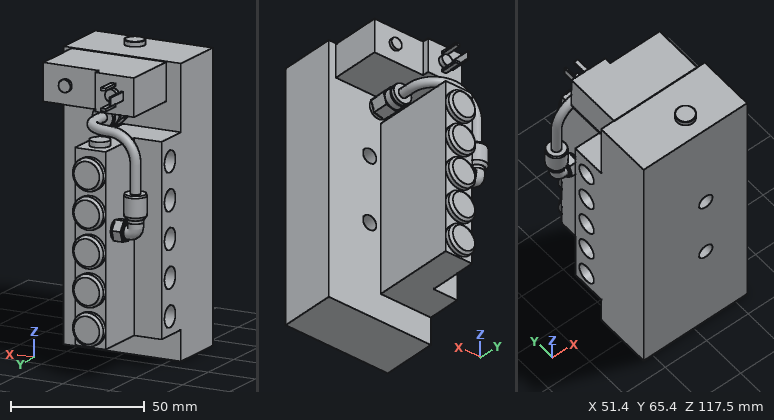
import cadquery as cq

BASE_X, BASE_Y, BASE_Z = 50.0, 25.0, 115.5
BUTTON_DIAMETER, BUTTON_HEIGHT, BUTTON_CHAMFER = 8.0, 2.0, 0.2
BUTTON_X, BUTTON_Y = 28.0, 9.5
MOUNT_HOLE_DIAMETER, MOUNT_HOLE_X = 6.5, 30.0
MOUNT_HOLE_HEIGHTS = (42.0, 72.0)

STATION_COUNT, STATION_PITCH, FIRST_STATION_Z = 5, 15.0, 19.6
BANK_Z_MIN, BANK_Z_MAX = 12.3, 88.85
VALVE_X_MIN, VALVE_WIDTH = 11.6, 13.0
VALVE_X = VALVE_X_MIN + VALVE_WIDTH / 2
MANIFOLD_X = VALVE_X_MIN + VALVE_WIDTH
MANIFOLD_BACK, VALVE_BACK = 40.2, 62.5
PORT_DIAMETER, PORT_DEPTH, PORT_Y = 8.6, 12.0, 33.6
CAP_DIAMETER, CAP_HEIGHT, CAP_CHAMFER = 13.0, 2.9, 1.1
BANK_DISC_DIAMETER, BANK_DISC_HEIGHT = 8.0, 2.2

CONNECTOR_X_MIN, CONNECTOR_X_STEP, CONNECTOR_X_MAX = 6.3, 22.7, 46.5
CONNECTOR_BACK, CONNECTOR_STEP_BACK = 50.2, 47.3
CONNECTOR_Z_MIN, CONNECTOR_Z_MAX = 100.0, 115.2
CONNECTOR_Z = (CONNECTOR_Z_MIN + CONNECTOR_Z_MAX) / 2
STUD_DIAMETER, STUD_HEIGHT, STUD_X = 5.0, 1.3, 36.7
PIN_BOSS_DIAMETER, PIN_BOSS_HEIGHT = 5.0, 2.0
PIN_X, PIN_WIDTH, PIN_THICKNESS = 15.0, 2.0, 1.0
PIN_SPACING, PIN_BACK = 8.0, 58.2
EARTH_X, EARTH_THICKNESS, EARTH_WIDTH, EARTH_BACK = 11.2, 0.8, 3.4, 59.8

TUBE_DIAMETER, TUBE_BEND_RADIUS = 4.0, 11.0
ELBOW_X, ELBOW_Y, ELBOW_Z = 3.0, 55.0, 57.0
TUBE_TOP_Z = 94.75
TUBE_CROSS_RUN = 0.7
STRAIGHT_X = ELBOW_X + 2 * TUBE_BEND_RADIUS + TUBE_CROSS_RUN
ELBOW_NUT_DIAMETER, STRAIGHT_NUT_DIAMETER = 8.7, 8.6

ELBOW_DIAMETER, ELBOW_BEND_RADIUS, ELBOW_COLLAR_DIAMETER = 6.0, 2.0, 7.5
ELBOW_NECK_DIAMETER, ELBOW_NECK_BOTTOM = 6.3, 61.0
ELBOW_NUT_BOTTOM, ELBOW_NUT_TOP = 62.3, 72.1
ELBOW_NUT_TAPER_HEIGHT, ELBOW_NUT_TAPER_WIDTH = 1.4, 1.0
ELBOW_NUT_RIM_HEIGHT, ELBOW_NUT_RIM_WIDTH = 0.8, 0.3
ELBOW_COLLAR_X, ELBOW_HEX_X_MIN, ELBOW_HEX_X_MAX = 6.4, 7.0, 10.8
ELBOW_HEX_FLATS, ELBOW_HEX_TURN = 8.0, 9.0

STRAIGHT_END, STRAIGHT_HEX_Y_MIN, STRAIGHT_HEX_Y_MAX = 39.0, 26.6, 33.8
STRAIGHT_HEX_FLATS, STRAIGHT_HEX_TURN = 9.0, 16.0
GROOVE_Y, GROOVE_WIDTH, GROOVE_DEPTH = 36.9, 0.4, 0.2

HEX_CORNER_RATIO = 2 / 3**0.5


def box(x_range, y_range, z_range):
    """Box between the given limits on each axis."""
    sizes = [high - low for low, high in (x_range, y_range, z_range)]
    corner = (x_range[0], y_range[0], z_range[0])
    return cq.Workplane("XY").box(*sizes, centered=False).translate(corner)


def rod(start, direction, length, diameter):
    """Round bar from a start point along an axis direction."""
    axis = cq.Vector(*direction)
    return cq.Workplane(cq.Solid.makeCylinder(diameter / 2, length, cq.Vector(*start), axis))


def hexagon(start, direction, upright, length, flats, turn):
    """Hexagonal bar whose first corner is turned away from the upright direction."""
    plane = cq.Plane(origin=start, xDir=upright, normal=direction)
    corners = flats * HEX_CORNER_RATIO
    profile = cq.Workplane(plane).transformed(rotate=(0, 0, turn)).polygon(6, corners)
    return profile.extrude(length)


def base():
    body = box((0, BASE_X), (0, BASE_Y), (0, BASE_Z))
    for height in MOUNT_HOLE_HEIGHTS:
        body = body.cut(rod((MOUNT_HOLE_X, 0, height), (0, 1, 0), BASE_Y, MOUNT_HOLE_DIAMETER))
    button = rod((BUTTON_X, BUTTON_Y, BASE_Z), (0, 0, 1), BUTTON_HEIGHT, BUTTON_DIAMETER)
    return body.union(button.faces(">Z").chamfer(BUTTON_CHAMFER))


def valve_bank():
    z_range = (BANK_Z_MIN, BANK_Z_MAX)
    bank = box((0, MANIFOLD_X), (BASE_Y, MANIFOLD_BACK), z_range)
    bank = bank.union(box((VALVE_X_MIN, MANIFOLD_X), (MANIFOLD_BACK, VALVE_BACK), z_range))
    for station in range(STATION_COUNT):
        height = FIRST_STATION_Z + station * STATION_PITCH
        bank = bank.cut(rod((0, PORT_Y, height), (1, 0, 0), PORT_DEPTH, PORT_DIAMETER))
        cap = rod((VALVE_X, VALVE_BACK, height), (0, 1, 0), CAP_HEIGHT, CAP_DIAMETER)
        bank = bank.union(cap.faces(">Y").chamfer(CAP_CHAMFER))
    disc_start = (VALVE_X, ELBOW_Y, BANK_Z_MAX)
    return bank.union(rod(disc_start, (0, 0, 1), BANK_DISC_HEIGHT, BANK_DISC_DIAMETER))


def connector():
    z_range = (CONNECTOR_Z_MIN, CONNECTOR_Z_MAX)
    block = box((CONNECTOR_X_MIN, CONNECTOR_X_MAX), (BASE_Y, CONNECTOR_STEP_BACK), z_range)
    block = block.union(box((CONNECTOR_X_MIN, CONNECTOR_X_STEP), (BASE_Y, CONNECTOR_BACK), z_range))
    stud_start = (STUD_X, CONNECTOR_STEP_BACK, CONNECTOR_Z)
    block = block.union(rod(stud_start, (0, 1, 0), STUD_HEIGHT, STUD_DIAMETER))
    boss_start = (PIN_X, CONNECTOR_BACK, CONNECTOR_Z)
    block = block.union(rod(boss_start, (0, 1, 0), PIN_BOSS_HEIGHT, PIN_BOSS_DIAMETER))
    for side in (-1, 1):
        pin = cq.Workplane("XZ", origin=(PIN_X, CONNECTOR_BACK, CONNECTOR_Z + side * PIN_SPACING / 2))
        block = block.union(pin.rect(PIN_WIDTH, PIN_THICKNESS).extrude(CONNECTOR_BACK - PIN_BACK))
    earth = cq.Workplane("XZ", origin=(EARTH_X, CONNECTOR_BACK, CONNECTOR_Z))
    return block.union(earth.rect(EARTH_THICKNESS, EARTH_WIDTH).extrude(CONNECTOR_BACK - EARTH_BACK))


def elbow_body():
    """Tight quarter bend with a straight leg upwards and another towards the valve bank."""
    bend_x = ELBOW_X + ELBOW_BEND_RADIUS
    bend_z = ELBOW_Z + ELBOW_BEND_RADIUS
    radius = ELBOW_DIAMETER / 2
    half_chord = (radius**2 - ELBOW_BEND_RADIUS**2) ** 0.5
    section = cq.Workplane("XY", origin=(bend_x, ELBOW_Y, bend_z)).moveTo(0, -half_chord)
    section = section.threePointArc((-ELBOW_BEND_RADIUS - radius, 0), (0, half_chord)).close()
    body = section.revolve(90, (0, 0, 0), (0, -1, 0))
    upper_leg = rod((ELBOW_X, ELBOW_Y, bend_z), (0, 0, 1), ELBOW_NECK_BOTTOM - bend_z, ELBOW_DIAMETER)
    side_leg = rod((bend_x, ELBOW_Y, ELBOW_Z), (1, 0, 0), ELBOW_COLLAR_X - bend_x, ELBOW_DIAMETER)
    return body.union(upper_leg).union(side_leg)


def elbow_fitting():
    neck_start = (ELBOW_X, ELBOW_Y, ELBOW_NECK_BOTTOM)
    neck_length = ELBOW_NUT_BOTTOM - ELBOW_NECK_BOTTOM
    fitting = elbow_body().union(rod(neck_start, (0, 0, 1), neck_length, ELBOW_NECK_DIAMETER))
    collar_start = (ELBOW_COLLAR_X, ELBOW_Y, ELBOW_Z)
    collar_length = VALVE_X_MIN - ELBOW_COLLAR_X
    fitting = fitting.union(rod(collar_start, (1, 0, 0), collar_length, ELBOW_COLLAR_DIAMETER))
    hex_start = (ELBOW_HEX_X_MIN, ELBOW_Y, ELBOW_Z)
    hex_length = ELBOW_HEX_X_MAX - ELBOW_HEX_X_MIN
    hex_nut = hexagon(hex_start, (1, 0, 0), (0, 1, 0), hex_length, ELBOW_HEX_FLATS, ELBOW_HEX_TURN)
    nut_start = (ELBOW_X, ELBOW_Y, ELBOW_NUT_BOTTOM)
    nut = rod(nut_start, (0, 0, 1), ELBOW_NUT_TOP - ELBOW_NUT_BOTTOM, ELBOW_NUT_DIAMETER)
    nut = nut.faces("<Z").chamfer(ELBOW_NUT_TAPER_HEIGHT, ELBOW_NUT_TAPER_WIDTH)
    nut = nut.faces(">Z").chamfer(ELBOW_NUT_RIM_HEIGHT, ELBOW_NUT_RIM_WIDTH)
    return fitting.union(hex_nut).union(nut)


def straight_fitting():
    fitting = rod((STRAIGHT_X, BASE_Y, TUBE_TOP_Z), (0, 1, 0), STRAIGHT_END - BASE_Y, STRAIGHT_NUT_DIAMETER)
    groove_start = (STRAIGHT_X, GROOVE_Y, TUBE_TOP_Z)
    ring = rod(groove_start, (0, 1, 0), GROOVE_WIDTH, STRAIGHT_NUT_DIAMETER)
    core = rod(groove_start, (0, 1, 0), GROOVE_WIDTH, STRAIGHT_NUT_DIAMETER - 2 * GROOVE_DEPTH)
    hex_start = (STRAIGHT_X, STRAIGHT_HEX_Y_MIN, TUBE_TOP_Z)
    hex_length = STRAIGHT_HEX_Y_MAX - STRAIGHT_HEX_Y_MIN
    hex_nut = hexagon(hex_start, (0, 1, 0), (0, 0, 1), hex_length, STRAIGHT_HEX_FLATS, STRAIGHT_HEX_TURN)
    return fitting.cut(ring.cut(core)).union(hex_nut)


def tube():
    """Tube rising from the elbow nut, bending towards +X and then towards the base."""
    radius = TUBE_BEND_RADIUS
    start = cq.Vector(ELBOW_X, ELBOW_Y, ELBOW_NUT_TOP)
    bend_start = cq.Vector(ELBOW_X, ELBOW_Y, TUBE_TOP_Z - radius)
    middle = cq.Vector(ELBOW_X + radius, ELBOW_Y, TUBE_TOP_Z)
    cross_end = cq.Vector(STRAIGHT_X - radius, ELBOW_Y, TUBE_TOP_Z)
    bend_end = cq.Vector(STRAIGHT_X, ELBOW_Y - radius, TUBE_TOP_Z)
    end = cq.Vector(STRAIGHT_X, STRAIGHT_END, TUBE_TOP_Z)
    edges = [
        cq.Edge.makeLine(start, bend_start),
        cq.Edge.makeTangentArc(bend_start, cq.Vector(0, 0, 1), middle),
        cq.Edge.makeLine(middle, cross_end),
        cq.Edge.makeTangentArc(cross_end, cq.Vector(1, 0, 0), bend_end),
        cq.Edge.makeLine(bend_end, end),
    ]
    path = cq.Workplane(cq.Wire.assembleEdges(edges))
    section = cq.Workplane("XY", origin=start.toTuple()).circle(TUBE_DIAMETER / 2)
    return section.sweep(path)


result = base()
for feature in (valve_bank(), connector(), elbow_fitting(), straight_fitting(), tube()):
    result = result.union(feature)